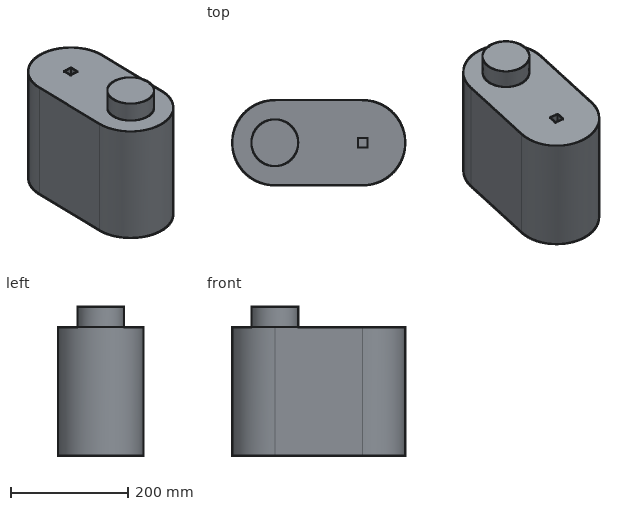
import cadquery as cq

end_radius = 73.0
end_spacing = 150.0
body_height = 220.0

boss_diameter = 80.0
boss_height = 35.0

pocket_side = 16.0
pocket_depth = 20.0

boss_x = -end_spacing / 2
pocket_x = end_spacing / 2


def make_body():
    overall_length = end_spacing + 2 * end_radius
    return cq.Workplane("XY").slot2D(overall_length, 2 * end_radius).extrude(body_height)


def make_boss():
    return (
        cq.Workplane("XY", origin=(boss_x, 0, body_height))
        .circle(boss_diameter / 2)
        .extrude(boss_height)
    )


def make_pocket():
    return (
        cq.Workplane("XY", origin=(pocket_x, 0, body_height))
        .rect(pocket_side, pocket_side)
        .extrude(-pocket_depth)
    )


result = make_body().union(make_boss()).cut(make_pocket())